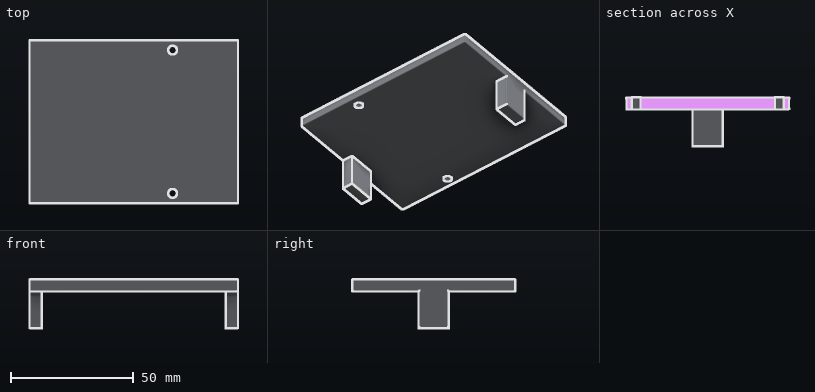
import cadquery as cq

length = 85.0
width = 66.5
height = 20.0

plate_thickness = 5.0
leg_thickness = 5.1
leg_width = 12.4
edge_radius = 0.5

hole_diameter = 3.5
hole_x = 15.8
hole_spacing = 58.3


def make_plate():
    """Flat plate with its top at Z = 0."""
    plate = cq.Workplane("XY").box(length, width, plate_thickness, centered=(True, True, False))
    return plate.translate((0, 0, -plate_thickness))


def make_leg(side):
    """Rectangular leg flush with the plate end on the given X side."""
    leg = cq.Workplane("XY").box(leg_thickness, leg_width, height, centered=(True, True, False))
    return leg.translate((side * (length - leg_thickness) / 2, 0, -height))


body = make_plate()
for side in (-1, 1):
    body = body.union(make_leg(side))

long_edges = body.faces("<Y or >Y").edges("|X")
end_edges = body.faces("<X or >X").edges()
body = body.newObject(end_edges.vals() + long_edges.vals()).fillet(edge_radius)

holes = (
    cq.Workplane("XY")
    .pushPoints([(hole_x, -hole_spacing / 2), (hole_x, hole_spacing / 2)])
    .circle(hole_diameter / 2)
    .extrude(-plate_thickness)
)

result = body.cut(holes)